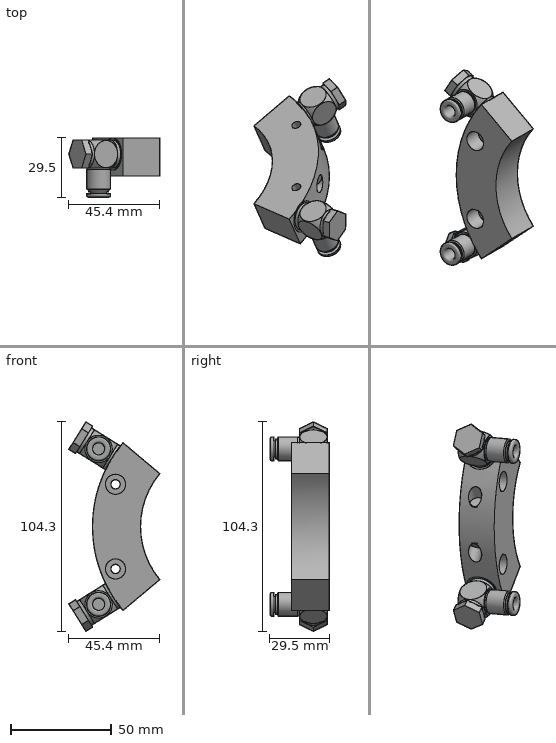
import cadquery as cq
import math

OUTER_RADIUS = 65.0
INNER_RADIUS = 41.0
HALF_ANGLE = 40.0
BLOCK_BACK = 8.0
BLOCK_THICKNESS = 19.0
BLOCK_FRONT = BLOCK_BACK - BLOCK_THICKNESS

MOUNT_RADIUS = 57.5
MOUNT_ANGLE = 21.5
MOUNT_DIAMETER = 4.5
COUNTERBORE_DIAMETER = 10.0
COUNTERBORE_DEPTH = 10.0

SLANT_HOLE_DIAMETER = 7.0
SLANT_HOLE_Z = 14.5
SLANT_HOLE_TILT = 58.0
SLANT_HOLE_DEPTH = 4.25

FITTING_ANGLE = 32.0
SEAT_RADIUS = 64.5
SPOT_FACE_DIAMETER = 16.0
SPOT_FACE_CUT = 2.0
BODY_WIDTH = 14.0
COLLAR_DIAMETER = 14.0
BANJO_LENGTH = 17.0
FLAT_DIAMETER = 13.6
HEX_ACROSS_FLATS = 14.0
HEX_ACROSS_CORNERS = HEX_ACROSS_FLATS / math.cos(math.pi / 6)
HEX_HEIGHT = 4.0
BALL_RADIUS = math.hypot(BODY_WIDTH / 2, FLAT_DIAMETER / 2)

NECK_DIAMETER = 11.8
NECK_END = 7.8
SLEEVE_DIAMETER = 12.0
SLEEVE_END = 17.9
SLEEVE_CHAMFER = 0.6
STEP_DIAMETER = 10.0
STEP_END = 18.8
GROOVE_DIAMETER = 8.0
GROOVE_END = 19.7
RELEASE_RING_DIAMETER = 12.0
CONNECTOR_END = 21.5
RELEASE_RING_ROUNDING = 1.0
TUBE_BORE_DIAMETER = 6.0
TUBE_BORE_DEPTH = 14.0


def polar_point(radius, angle):
    """X and Z of a point at an angle from -X toward +Z."""
    return (-radius * math.cos(math.radians(angle)), radius * math.sin(math.radians(angle)))


def cylinder(diameter, length, start, direction):
    """Cylinder with its base centred on start, running along direction."""
    return cq.Workplane(
        cq.Solid.makeCylinder(diameter / 2, length, cq.Vector(*start), cq.Vector(*direction))
    )


def make_block():
    return (
        cq.Workplane("XZ", origin=(0, BLOCK_BACK, 0))
        .moveTo(*polar_point(OUTER_RADIUS, HALF_ANGLE))
        .threePointArc((-OUTER_RADIUS, 0), polar_point(OUTER_RADIUS, -HALF_ANGLE))
        .lineTo(*polar_point(INNER_RADIUS, -HALF_ANGLE))
        .threePointArc((-INNER_RADIUS, 0), polar_point(INNER_RADIUS, HALF_ANGLE))
        .close()
        .extrude(BLOCK_THICKNESS)
    )


def mounting_hole(side):
    x, z = polar_point(MOUNT_RADIUS, side * MOUNT_ANGLE)
    front = (x, BLOCK_FRONT, z)
    through = cylinder(MOUNT_DIAMETER, BLOCK_THICKNESS, front, (0, 1, 0))
    counterbore = cylinder(COUNTERBORE_DIAMETER, COUNTERBORE_DEPTH, front, (0, 1, 0))
    return through.union(counterbore)


def slanted_hole(side):
    """Blind hole that slopes inward and toward the middle of the block."""
    mouth_x = -math.sqrt(OUTER_RADIUS**2 - SLANT_HOLE_Z**2)
    inward_x = math.cos(math.radians(SLANT_HOLE_TILT))
    inward_z = -side * math.sin(math.radians(SLANT_HOLE_TILT))
    bottom = (
        mouth_x + SLANT_HOLE_DEPTH * inward_x,
        0,
        side * SLANT_HOLE_Z + SLANT_HOLE_DEPTH * inward_z,
    )
    cut_length = SLANT_HOLE_DEPTH + SLANT_HOLE_DIAMETER
    return cylinder(SLANT_HOLE_DIAMETER, cut_length, bottom, (-inward_x, 0, -inward_z))


def spot_face(side):
    x, z = polar_point(SEAT_RADIUS, side * FITTING_ANGLE)
    return cylinder(SPOT_FACE_DIAMETER, SPOT_FACE_CUT, (x, 0, z), (x, 0, z))


def make_connector():
    """Stepped tube connector, revolved about the forward axis through the origin."""
    sleeve_radius = SLEEVE_DIAMETER / 2
    ring_radius = RELEASE_RING_DIAMETER / 2
    bore_radius = TUBE_BORE_DIAMETER / 2
    bore_bottom = CONNECTOR_END - TUBE_BORE_DEPTH
    rounding = RELEASE_RING_ROUNDING
    profile = (
        cq.Workplane("XY")
        .lineTo(NECK_DIAMETER / 2, 0)
        .lineTo(NECK_DIAMETER / 2, NECK_END)
        .lineTo(sleeve_radius, NECK_END)
        .lineTo(sleeve_radius, SLEEVE_END - SLEEVE_CHAMFER)
        .lineTo(sleeve_radius - SLEEVE_CHAMFER, SLEEVE_END)
        .lineTo(STEP_DIAMETER / 2, SLEEVE_END)
        .lineTo(STEP_DIAMETER / 2, STEP_END)
        .lineTo(GROOVE_DIAMETER / 2, STEP_END)
        .lineTo(GROOVE_DIAMETER / 2, GROOVE_END)
        .lineTo(ring_radius, GROOVE_END)
        .lineTo(ring_radius, CONNECTOR_END - rounding)
        .radiusArc((ring_radius - rounding, CONNECTOR_END), -rounding)
        .lineTo(bore_radius + rounding, CONNECTOR_END)
        .radiusArc((bore_radius, CONNECTOR_END - rounding), -rounding)
        .lineTo(bore_radius, bore_bottom)
        .lineTo(0, bore_bottom)
        .close()
    )
    return profile.revolve(360, (0, 0, 0), (0, 1, 0)).rotate((0, 0, 0), (0, 0, 1), 180)


def make_fitting():
    """Fitting centred on the origin, with its seat toward +X and its hexagon toward -X."""
    half_length = BANJO_LENGTH / 2
    ball = cq.Workplane("XY").sphere(BALL_RADIUS)
    cube = cq.Workplane("XY").box(BODY_WIDTH, BODY_WIDTH, BODY_WIDTH)
    collars = cylinder(COLLAR_DIAMETER, BANJO_LENGTH, (-half_length, 0, 0), (1, 0, 0))
    hexagon = (
        cq.Workplane("YZ", origin=(-half_length, 0, 0))
        .transformed(rotate=(0, 0, 90))
        .polygon(6, HEX_ACROSS_CORNERS)
        .extrude(-HEX_HEIGHT)
    )
    body = ball.intersect(cube).union(collars).union(hexagon)
    bore = cylinder(TUBE_BORE_DIAMETER, TUBE_BORE_DEPTH, (0, -CONNECTOR_END, 0), (0, 1, 0))
    return body.union(make_connector()).cut(bore)


def place_fitting(fitting, side):
    centre_radius = SEAT_RADIUS + BANJO_LENGTH / 2
    return fitting.translate((-centre_radius, 0, 0)).rotate(
        (0, 0, 0), (0, 1, 0), side * FITTING_ANGLE
    )


result = make_block()
fitting = make_fitting()
for side in (1, -1):
    result = result.cut(mounting_hole(side)).cut(slanted_hole(side)).cut(spot_face(side))
    result = result.union(place_fitting(fitting, side))